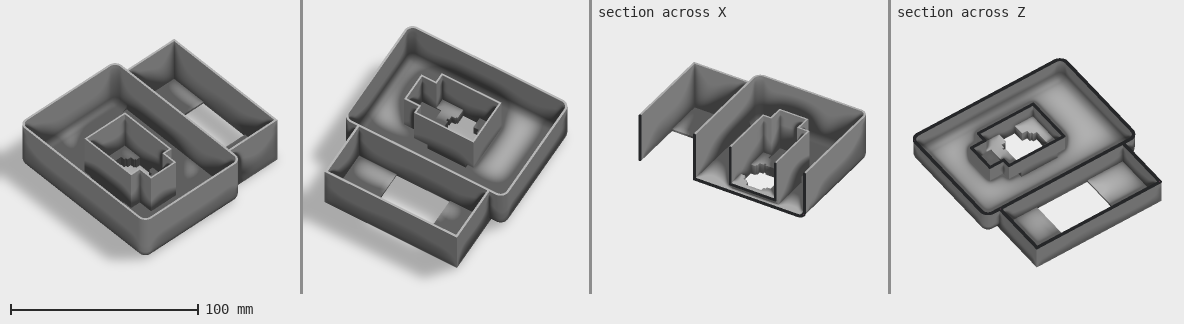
import cadquery as cq


TRAY_WIDTH = 100.0
TRAY_DEPTH = 70.0
HEIGHT = 30.0
WALL = 1.2
FLOOR = 1.2
CORNER_RADIUS = 5.0

TOTAL_DEPTH = 104.0
REAR_WIDTH = 82.0
WINDOW_WIDTH = 33.0

SOCKET_WALL = 1.0
SOCKET_BOTTOM = 5.0
SOCKET_LEFT = -18.0
SOCKET_RIGHT = 19.0
SOCKET_FRONT = 18.4
SOCKET_BACK = 47.6
BAY_RIGHT = 28.0
BAY_FRONT = 24.6
BAY_BACK = 42.7
BAY_OPENING_LEFT = 15.0

OPENING_Y = 34.6
SLOT_HALF_WIDTH = 5.1
CORE_HALF_WIDTH = 8.4
CORE_HALF_DEPTH = 8.5
STEP_HALF_WIDTH = 5.9
STEP_HALF_DEPTH = 9.4
NIB_HALF_WIDTH = 9.7
NIB_INNER = 4.9
NIB_OUTER = 6.1
TAB_REACH = 12.1


def block(x_range, y_range, z_range):
    """Axis-aligned block between the given pairs of limits."""
    (x0, x1), (y0, y1), (z0, z1) = x_range, y_range, z_range
    return cq.Workplane("XY").box(x1 - x0, y1 - y0, z1 - z0, centered=False).translate((x0, y0, z0))


def centred(half_width):
    return -half_width, half_width


def rounded_tray(inset, bottom):
    """Tray envelope shrunk sideways by inset; its roundings stay concentric with the outside."""
    radius = CORNER_RADIUS - inset
    envelope = block(centred(TRAY_WIDTH / 2 - inset), (inset, TRAY_DEPTH - inset), (bottom, HEIGHT))
    return envelope.edges("|Z").fillet(radius).faces("<Z").edges().fillet(radius)


def housing():
    """Tray and rear compartment, hollowed out on both sides of the wall they share."""
    blend_start = TRAY_DEPTH - CORNER_RADIUS
    rear_back = TOTAL_DEPTH - WALL
    rear_inside = centred(REAR_WIDTH / 2 - WALL)
    above_floor = (FLOOR, HEIGHT)

    body = rounded_tray(0, 0)
    body = body.union(block(centred(REAR_WIDTH / 2), (blend_start, TOTAL_DEPTH), (0, HEIGHT)))
    body = body.cut(rounded_tray(WALL, FLOOR))
    body = body.cut(block(rear_inside, (blend_start, TRAY_DEPTH - WALL), above_floor))
    body = body.cut(block(rear_inside, (TRAY_DEPTH, rear_back), above_floor))
    return body.cut(block(centred(WINDOW_WIDTH / 2), (TRAY_DEPTH, rear_back), (0, FLOOR)))


def socket_prism(inset, bottom):
    """Socket outline with its side bay, shrunk by inset and raised from bottom to the rim."""
    z_range = (bottom, HEIGHT)
    main = block(
        (SOCKET_LEFT + inset, SOCKET_RIGHT - inset),
        (SOCKET_FRONT + inset, SOCKET_BACK - inset),
        z_range,
    )
    return main.union(bay_prism(0, inset, z_range))


def bay_prism(left, inset, z_range):
    return block((left, BAY_RIGHT - inset), (BAY_FRONT + inset, BAY_BACK - inset), z_range)


def socket():
    """Socket box whose floor is open under the bay, on a plinth that joins it to the tray floor."""
    shell = socket_prism(0, SOCKET_BOTTOM).cut(socket_prism(SOCKET_WALL, SOCKET_BOTTOM + SOCKET_WALL))
    shell = shell.cut(bay_prism(BAY_OPENING_LEFT, SOCKET_WALL, (SOCKET_BOTTOM, HEIGHT)))
    plinth = block(
        (-TAB_REACH - SOCKET_WALL, NIB_HALF_WIDTH + SOCKET_WALL),
        (SOCKET_FRONT, SOCKET_BACK),
        (FLOOR, SOCKET_BOTTOM),
    )
    return shell.union(plinth)


def stepped_opening():
    """Cutter for the opening, from the underside up through the socket floor."""
    z_range = (0, SOCKET_BOTTOM + SOCKET_WALL)

    def around_centre(front, back):
        return OPENING_Y + front, OPENING_Y + back

    slot_range = (SOCKET_FRONT + SOCKET_WALL, SOCKET_BACK - SOCKET_WALL)
    cutter = block(centred(SLOT_HALF_WIDTH), slot_range, z_range)
    core_range = around_centre(-CORE_HALF_DEPTH, CORE_HALF_DEPTH)
    cutter = cutter.union(block(centred(CORE_HALF_WIDTH), core_range, z_range))
    tab_range = around_centre(-NIB_INNER, NIB_INNER)
    cutter = cutter.union(block((-TAB_REACH, 0), tab_range, z_range))
    for nib_range in (around_centre(-NIB_OUTER, -NIB_INNER), around_centre(NIB_INNER, NIB_OUTER)):
        cutter = cutter.union(block(centred(NIB_HALF_WIDTH), nib_range, z_range))
    back_step = around_centre(0, STEP_HALF_DEPTH)
    cutter = cutter.union(block(centred(STEP_HALF_WIDTH), back_step, z_range))
    front_step = around_centre(-STEP_HALF_DEPTH, 0)
    return cutter.union(block((0, STEP_HALF_WIDTH), front_step, z_range))


result = housing().union(socket()).cut(stepped_opening())